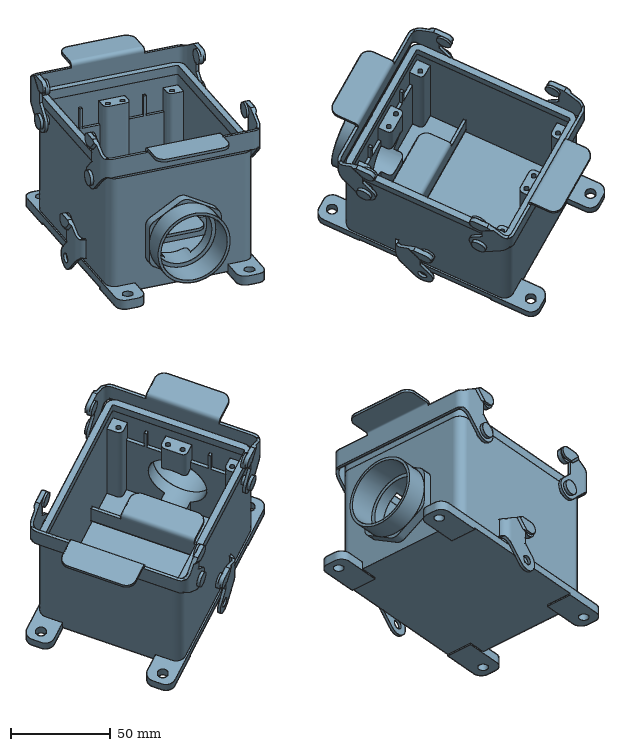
import cadquery as cq
import math

BODY_LENGTH = 93.6
BODY_WIDTH = 79.3
BODY_TOP = 66.8
SEAL_TOP = 72.0
BODY_CORNER_RADIUS = 5.0
RIM_WALL = 3.5
CAVITY_CORNER_RADIUS = 0.9
END_WALL = 5.2
LEDGE_Z = 47.8
RIB_TOP = 59.2
RIB_WIDTH = 1.4
RIB_Y = 17.5

BASE_WIDTH = 81.1
BASE_TOP = 5.2
FOOT_PAD = 0.9
FOOT_END_X = 62.3
FOOT_STEP_X = 37.0
FOOT_WIDTH = 15.2
FOOT_RADIUS = 5.0
FOOT_HOLE_DIAMETER = 5.5
FOOT_HOLE_X = 56.1
FOOT_HOLE_Y = 33.3

POST_TOP = 60.7
POST_INNER_X = 35.7
POST_RADIUS = 2.5
CORNER_POST_INNER_Y = 28.0
MIDDLE_POST_WIDTH = 14.2
SCREW_HOLE_DIAMETER = 2.5
SCREW_HOLE_DEPTH = 10.4
SCREW_HOLE_X = 38.8
CORNER_SCREW_Y = 31.1
MIDDLE_SCREW_Y = 4.0

ENTRY_Z = 28.0
CABLE_HOLE_DIAMETER = 32.0
CABLE_HOLE_END_X = 48.3
SLEEVE_BORE_DIAMETER = 36.3
SLEEVE_DIAMETER = 39.4
HEXAGON_ACROSS_FLATS = SLEEVE_DIAMETER
HEXAGON_CORNER_RADIUS = 5.3
HEXAGON_END_X = 51.8
SLEEVE_END_X = 63.2

PIVOT_X = 32.4
PIVOT_Z = 62.2
PIN_DIAMETER = 4.9
PIN_HEAD_DIAMETER = 8.0
PIN_HEAD_END_Y = 45.2

SHEET = 1.5
ARM_OUTER_Y = 43.5
BAND_OUTER_X = 17.1
BEND_OUTER_RADIUS = 5.0
BAND_BOTTOM = 7.3
BAND_TOP = 17.7
PIVOT_EYE_RADIUS = 6.0
PIVOT_HOLE_DIAMETER = 5.0
NECK_X = 1.3
HOOK_TOP = 24.1
HOOK_BOTTOM = 17.4
HOOK_CENTRE_X = -2.1
HOOK_FLAT_END_X = 4.5
SHOULDER_X = 15.2
HOOK_STEP = 0.9
RAMP_WIDTH = 1.4
RAMP_LINE = 15.3
DISC_DIAMETER = 8.0
DISC_X = -1.7
DISC_Z = 20.0
DISC_INNER_Y = 40.8
DISC_OUTER_Y = 43.3
TAB_END_X = 32.4
TAB_TOP = 20.6
TAB_WIDTH = 40.1
TAB_CORNER_RADIUS = 5.2
TAB_BEND_RADIUS = 2.3

CAVITY_LENGTH = BODY_LENGTH - 2 * RIM_WALL
CAVITY_WIDTH = BODY_WIDTH - 2 * RIM_WALL
SIDES = (-1, 1)


def box(x0, x1, y0, y1, z0, z1):
    """Box between two opposite corners; each pair may come in either order."""
    size = (abs(x1 - x0), abs(y1 - y0), abs(z1 - z0))
    return cq.Workplane("XY").box(*size).translate(((x0 + x1) / 2, (y0 + y1) / 2, (z0 + z1) / 2))


def cylinder_y(diameter, x, z, y0, y1):
    """Cylinder along Y from y0 to y1."""
    direction = cq.Vector(0, math.copysign(1, y1 - y0), 0)
    return cq.Workplane(cq.Solid.makeCylinder(diameter / 2, abs(y1 - y0), cq.Vector(x, y0, z), direction))


def cylinder_x(diameter, z, x0, x1):
    """Cylinder along +X from x0 to x1, on the middle plane of the part."""
    return cq.Workplane(cq.Solid.makeCylinder(diameter / 2, x1 - x0, cq.Vector(x0, 0, z), cq.Vector(1, 0, 0)))


def make_rounded_block(length, width, corner_radius, bottom, top):
    """Upright block, centred on the Z axis, with rounded vertical edges."""
    block = cq.Workplane("XY").workplane(offset=bottom).rect(length, width).extrude(top - bottom)
    return block.edges("|Z").fillet(corner_radius)


def make_foot(side_x, side_y):
    """Rounded lug with a screw hole, lower than the rest of the underside."""
    outer_y = BASE_WIDTH / 2
    foot = box(side_x * FOOT_STEP_X, side_x * FOOT_END_X,
               side_y * (outer_y - FOOT_WIDTH), side_y * outer_y, 0, BASE_TOP)
    foot = foot.edges("|Z").edges(">X" if side_x > 0 else "<X").fillet(FOOT_RADIUS)
    hole = cq.Workplane("XY").center(side_x * FOOT_HOLE_X, side_y * FOOT_HOLE_Y)
    return foot.cut(hole.circle(FOOT_HOLE_DIAMETER / 2).extrude(BASE_TOP))


def make_cavity():
    """Open cavity, narrowed at both ends below the ledges and by the ribs above them."""
    cavity = make_rounded_block(CAVITY_LENGTH, CAVITY_WIDTH, CAVITY_CORNER_RADIUS, BASE_TOP, BODY_TOP)
    wall_x = CAVITY_LENGTH / 2
    ledge_x = BODY_LENGTH / 2 - END_WALL
    for side in SIDES:
        cavity = cavity.cut(box(side * ledge_x, side * wall_x, -BODY_WIDTH, BODY_WIDTH, 0, LEDGE_Z))
        for rib_y in (-RIB_Y, RIB_Y):
            cavity = cavity.cut(box(side * ledge_x, side * wall_x,
                                    rib_y - RIB_WIDTH / 2, rib_y + RIB_WIDTH / 2, 0, RIB_TOP))
    return cavity


def make_posts(side):
    """Three screw posts on one end wall: two in the corners and a double one in the middle."""
    wall_x = side * (CAVITY_LENGTH / 2 + RIM_WALL / 2)
    wall_y = CAVITY_WIDTH / 2 + RIM_WALL / 2
    inner_x = side * POST_INNER_X
    free_end = "<X" if side > 0 else ">X"
    middle = box(inner_x, wall_x, -MIDDLE_POST_WIDTH / 2, MIDDLE_POST_WIDTH / 2, FOOT_PAD, POST_TOP)
    posts = middle.edges("|Z").edges(free_end).fillet(POST_RADIUS)
    for side_y in SIDES:
        corner = box(inner_x, wall_x, side_y * CORNER_POST_INNER_Y, side_y * wall_y, FOOT_PAD, POST_TOP)
        inner_edge = "<Y" if side_y > 0 else ">Y"
        posts = posts.union(corner.edges("|Z").edges(free_end).edges(inner_edge).fillet(POST_RADIUS))
    return posts


def make_screw_holes():
    """Blind holes sunk into the tops of all the posts."""
    points = [
        (side * SCREW_HOLE_X, side_y * y)
        for side in SIDES for side_y in SIDES for y in (CORNER_SCREW_Y, MIDDLE_SCREW_Y)
    ]
    return (
        cq.Workplane("XY").workplane(offset=POST_TOP).pushPoints(points)
        .circle(SCREW_HOLE_DIAMETER / 2).extrude(-SCREW_HOLE_DEPTH)
    )


def make_pin(side_x, side_y):
    """Headed pivot pin standing on a long side wall."""
    x = side_x * PIVOT_X
    root_y = (BODY_WIDTH - RIM_WALL) / 2
    shank = cylinder_y(PIN_DIAMETER, x, PIVOT_Z, side_y * root_y, side_y * PIN_HEAD_END_Y)
    head = cylinder_y(PIN_HEAD_DIAMETER, x, PIVOT_Z, side_y * ARM_OUTER_Y, side_y * PIN_HEAD_END_Y)
    return shank.union(head)


def make_cable_entry():
    """Rounded hexagonal boss on the end wall with a round sleeve outside it, still without its bore."""
    wall_x = BODY_LENGTH / 2
    hexagon = (
        cq.Workplane("YZ").workplane(offset=wall_x).center(0, ENTRY_Z)
        .transformed(rotate=(0, 0, 90))
        .polygon(6, HEXAGON_ACROSS_FLATS / math.cos(math.radians(30)))
        .extrude(HEXAGON_END_X - wall_x).edges("|X").fillet(HEXAGON_CORNER_RADIUS)
    )
    sleeve = cylinder_x(SLEEVE_DIAMETER, ENTRY_Z, HEXAGON_END_X, SLEEVE_END_X)
    return hexagon.union(sleeve)


def make_housing():
    """Open box with base flange, feet, posts, cable entry and pivot pins."""
    body = make_rounded_block(BODY_LENGTH, BODY_WIDTH, BODY_CORNER_RADIUS, FOOT_PAD, BODY_TOP)
    half_length = BODY_LENGTH / 2
    half_base = BASE_WIDTH / 2
    body = body.union(box(-half_length, half_length, -half_base, half_base, FOOT_PAD, BASE_TOP))
    for side_x in SIDES:
        for side_y in SIDES:
            body = body.union(make_foot(side_x, side_y))
    body = body.cut(make_cavity())
    for side in SIDES:
        body = body.union(make_posts(side))
    body = body.cut(make_screw_holes())
    body = body.union(make_cable_entry())
    body = body.cut(cylinder_x(CABLE_HOLE_DIAMETER, ENTRY_Z, 0, CABLE_HOLE_END_X))
    body = body.cut(cylinder_x(SLEEVE_BORE_DIAMETER, ENTRY_Z, CABLE_HOLE_END_X, SLEEVE_END_X))
    for side_x in SIDES:
        for side_y in SIDES:
            body = body.union(make_pin(side_x, side_y))
    return body


def make_rim_seal():
    """Ring lying flush on the top edge of the housing walls."""
    ring = make_rounded_block(BODY_LENGTH, BODY_WIDTH, BODY_CORNER_RADIUS, BODY_TOP, SEAL_TOP)
    return ring.cut(make_rounded_block(CAVITY_LENGTH, CAVITY_WIDTH, CAVITY_CORNER_RADIUS, BODY_TOP, SEAL_TOP))


def make_arm_outline():
    """Side shape of the lever: pivot eye, hook and shoulder, as deep as the whole lever."""
    eye = PIVOT_EYE_RADIUS
    diagonal = eye * math.sqrt(0.5)
    tangent_shift = eye * math.sqrt(2)
    hook_centre_z = (HOOK_TOP + HOOK_BOTTOM) / 2
    hook_end_x = HOOK_CENTRE_X - (HOOK_TOP - HOOK_BOTTOM) / 2
    return (
        cq.Workplane("XZ").workplane(offset=-ARM_OUTER_Y - HOOK_STEP)
        .moveTo(-diagonal, diagonal)
        .lineTo(NECK_X, NECK_X + tangent_shift)
        .lineTo(NECK_X, HOOK_BOTTOM)
        .lineTo(HOOK_CENTRE_X, HOOK_BOTTOM)
        .threePointArc((hook_end_x, hook_centre_z), (HOOK_CENTRE_X, HOOK_TOP))
        .lineTo(HOOK_FLAT_END_X, HOOK_TOP)
        .lineTo(SHOULDER_X, BAND_TOP)
        .lineTo(BAND_OUTER_X, BAND_TOP)
        .lineTo(BAND_OUTER_X, BAND_BOTTOM)
        .lineTo(BAND_BOTTOM + tangent_shift, BAND_BOTTOM)
        .lineTo(diagonal, -diagonal)
        .threePointArc((-diagonal, -diagonal), (-diagonal, diagonal))
        .close().extrude(2 * (ARM_OUTER_Y + HOOK_STEP))
    )


def make_u_sheet():
    """Upright sheet bent into a U: two flat arms joined by the cross band."""
    reach = 2 * HOOK_TOP

    def block(inset, radius):
        width = 2 * (ARM_OUTER_Y - inset)
        outer_x = BAND_OUTER_X - inset
        solid = box(outer_x - reach, outer_x, -width / 2, width / 2, -reach, reach)
        return solid.edges("|Z").edges(">X").fillet(radius)

    return block(0, BEND_OUTER_RADIUS).cut(block(SHEET, BEND_OUTER_RADIUS - SHEET))


def make_hook_pad(side):
    """Layer on the outer face of one hook, with a diagonal ramped edge where it leaves the arm."""
    half_ramp = RAMP_WIDTH / 2
    reach = 2 * HOOK_TOP
    inner_y = ARM_OUTER_Y - SHEET / 2
    raised_y = ARM_OUTER_Y + HOOK_STEP
    section = [
        (-half_ramp, inner_y), (-half_ramp, ARM_OUTER_Y), (half_ramp, raised_y),
        (reach, raised_y), (reach, inner_y),
    ]
    plane = cq.Plane(origin=(0, 0, RAMP_LINE), xDir=(-1, 0, 1), normal=(1, 0, 1))
    y_sign = side * math.copysign(1, plane.yDir.y)
    points = [(distance, y_sign * y) for distance, y in section]
    pad = cq.Workplane(plane).polyline(points).close().extrude(reach, both=True)
    return pad.intersect(box(-reach, reach, -BODY_WIDTH, BODY_WIDTH, HOOK_BOTTOM, reach))


def make_tab():
    """Finger tab: rises from the band and bends outward to a flat rounded plate."""
    inner_x = BAND_OUTER_X - SHEET
    middle_z = (BAND_TOP + BAND_BOTTOM) / 2
    outer = TAB_BEND_RADIUS
    inner = TAB_BEND_RADIUS - SHEET
    centre_x = inner_x + outer
    centre_z = TAB_TOP - outer
    cos45 = math.sqrt(0.5)
    tab = (
        cq.Workplane("XZ").workplane(offset=-TAB_WIDTH / 2)
        .moveTo(inner_x, middle_z)
        .lineTo(inner_x, centre_z)
        .threePointArc((centre_x - outer * cos45, centre_z + outer * cos45), (centre_x, TAB_TOP))
        .lineTo(TAB_END_X, TAB_TOP)
        .lineTo(TAB_END_X, TAB_TOP - SHEET)
        .lineTo(centre_x, TAB_TOP - SHEET)
        .threePointArc((centre_x - inner * cos45, centre_z + inner * cos45), (BAND_OUTER_X, centre_z))
        .lineTo(BAND_OUTER_X, middle_z)
        .close().extrude(TAB_WIDTH)
    )
    return tab.edges("|Z").edges(">X").fillet(TAB_CORNER_RADIUS)


def make_lever():
    """Locking lever with its pivot axis on the Y axis and its band towards +X."""
    outline = make_arm_outline()
    lever = make_u_sheet().intersect(outline).union(make_tab())
    for side in SIDES:
        lever = lever.union(make_hook_pad(side).intersect(outline))
        disc = cylinder_y(DISC_DIAMETER, DISC_X, DISC_Z, side * DISC_INNER_Y, side * DISC_OUTER_Y)
        lever = lever.union(disc)
    return lever.cut(cylinder_y(PIVOT_HOLE_DIAMETER, 0, 0, -ARM_OUTER_Y, ARM_OUTER_Y))


base_lever = make_lever()
locking_levers = [
    base_lever.translate((PIVOT_X, 0, PIVOT_Z)),
    base_lever.mirror("YZ").translate((-PIVOT_X, 0, PIVOT_Z)),
]
housing = make_housing().cut(base_lever)
rim_seal = make_rim_seal()

result = cq.Compound.makeCompound([
    housing.val(),
    rim_seal.val(),
    base_lever.val(),
    *[locking_lever.val() for locking_lever in locking_levers],
])